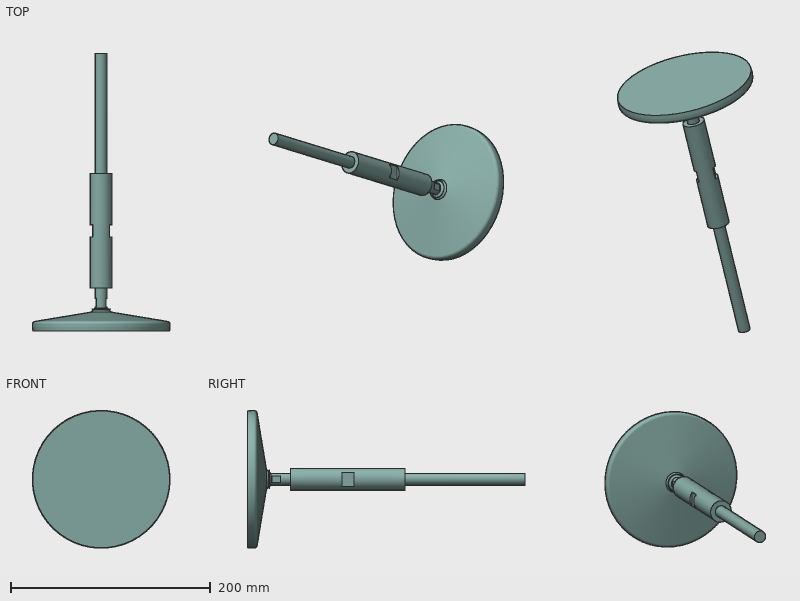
import cadquery as cq
import math


foot_radius = 69.0
sole_radius = 68.5
pad_height = 4.1
cone_corner_height = 9.4
cone_top_radius = 10.3
cone_top_height = 19.1
rim_fillet = 3.2

collar_foot_radius = 9.0
collar_foot_height = 20.1
collar_groove_radius = 8.3
collar_groove_height = 21.1
lip_radius = 9.2
lip_height = 22.1
collar_throat_radius = 6.8
collar_throat_height = 22.6
collar_top_height = 23.4

stud_radius = 6.0
stud_end = 278.0
socket_floor = 12.0
stud_flat_start = 24.4
stud_flat_length = 8.5
stud_flat_width = 10.0

sleeve_radius = 11.0
sleeve_start = 43.0
sleeve_length = 115.0
sleeve_flat_length = 12.0
sleeve_flat_width = 17.0


def shaft(radius, start, length):
    """Cylinder along +Y that begins at Y = start."""
    return cq.Workplane("XZ", origin=(0, start, 0)).circle(radius).extrude(-length)


def cut_flats(body, radius, across, start, length):
    """Cut two opposite wrench flats, facing -X and +X, into a round body."""
    depth = radius - across / 2
    for side in (-1, 1):
        cutter = cq.Workplane("XY").box(2 * depth, length, 2 * radius)
        body = body.cut(cutter.translate((side * (across / 2 + depth), start + length / 2, 0)))
    return body


def make_foot():
    """Conical plate with a rounded rim, a grooved collar and a blind socket for the stud."""
    slope = math.atan2(cone_top_height - cone_corner_height, foot_radius - cone_top_radius)
    turn = math.pi / 2 - slope
    round_center = (foot_radius - rim_fillet, cone_corner_height - rim_fillet * math.tan(turn / 2))

    def rim_point(angle):
        return (
            round_center[0] + rim_fillet * math.cos(angle),
            round_center[1] + rim_fillet * math.sin(angle),
        )

    profile = (
        cq.Workplane("XY")
        .lineTo(sole_radius, 0)
        .lineTo(foot_radius, pad_height)
        .lineTo(*rim_point(0))
        .threePointArc(rim_point(turn / 2), rim_point(turn))
        .lineTo(cone_top_radius, cone_top_height)
        .lineTo(collar_foot_radius, collar_foot_height)
        .lineTo(collar_groove_radius, collar_groove_height)
        .lineTo(lip_radius, lip_height)
        .threePointArc((collar_throat_radius, collar_throat_height), (stud_radius, collar_top_height))
        .lineTo(stud_radius, socket_floor)
        .lineTo(0, socket_floor)
        .close()
    )
    return profile.revolve(360, (0, 0, 0), (0, 1, 0))


def make_stud():
    """Plain rod standing in the foot socket, with wrench flats just above the collar."""
    rod = shaft(stud_radius, socket_floor, stud_end - socket_floor)
    return cut_flats(rod, stud_radius, stud_flat_width, stud_flat_start, stud_flat_length)


def make_sleeve():
    """Tube around the stud with wrench flats at mid length."""
    tube = shaft(sleeve_radius, sleeve_start, sleeve_length)
    tube = tube.cut(shaft(stud_radius, sleeve_start, sleeve_length))
    flat_start = sleeve_start + (sleeve_length - sleeve_flat_length) / 2
    return cut_flats(tube, sleeve_radius, sleeve_flat_width, flat_start, sleeve_flat_length)


foot = make_foot()
stud = make_stud()
sleeve = make_sleeve()

result = cq.Compound.makeCompound([foot.val(), stud.val(), sleeve.val()])